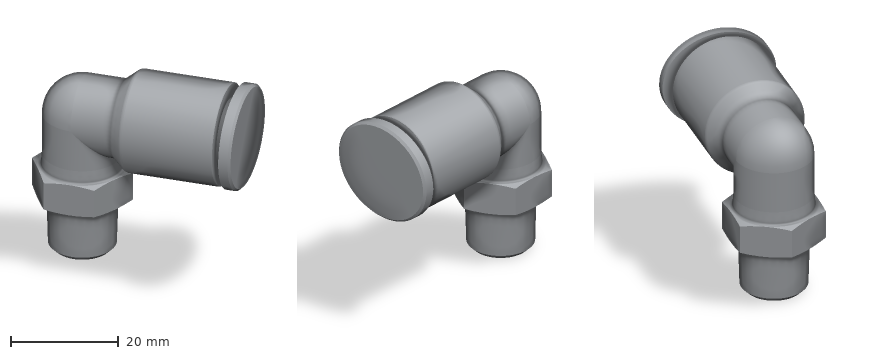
import cadquery as cq
import math


elbow_radius = 7.55
collar_top_z = -8.35
collar_radius = 7.72
collar_fillet = 0.38

hex_across_flats = 17.0
hex_across_corners = hex_across_flats / math.cos(math.radians(30))
hex_height = 6.5
hex_face_radius = 8.45
hex_chamfer_height = 0.43

overall_height = 38.3
thread_length = 11.0
thread_tip_chamfer = 1.0
thread_radius = 6.74
thread_taper = 1 / 16

socket_radius = 9.85
socket_end_x = 28.24
socket_end_chamfer = 0.12
cone_angle = math.radians(40)
cone_blend_radius = 1.0

neck_radius = 7.1
sleeve_x = 29.92
sleeve_width = 22.5
sleeve_height = 19.55
sleeve_chamfer = 0.45
overall_length = 42.02

thread_bottom_z = socket_radius - overall_height
hex_bottom_z = thread_bottom_z + thread_length
hex_top_z = hex_bottom_z + hex_height
sleeve_end_x = overall_length - hex_across_corners / 2


def make_leg():
    """Vertical leg with a drafted collar that blends into the top of the hexagon."""
    blend_radius = collar_radius + collar_fillet
    blend_top_z = hex_top_z + collar_fillet
    mid_angle = math.radians(45)
    blend_mid = (
        blend_radius - collar_fillet * math.cos(mid_angle),
        blend_top_z - collar_fillet * math.sin(mid_angle),
    )
    return (
        cq.Workplane("XZ")
        .lineTo(elbow_radius, 0)
        .lineTo(elbow_radius, collar_top_z)
        .lineTo(collar_radius, blend_top_z)
        .threePointArc(blend_mid, (blend_radius, hex_top_z))
        .lineTo(0, hex_top_z)
        .close()
        .revolve(360, (0, 0), (0, 1))
    )


def make_hexagon():
    """Hexagon with corners on the X axis, chamfered by cones at both ends."""
    prism = (
        cq.Workplane("XY")
        .workplane(offset=hex_bottom_z)
        .polygon(6, hex_across_corners)
        .extrude(hex_height)
    )
    corner_radius = hex_across_corners / 2
    envelope = (
        cq.Workplane("XZ")
        .moveTo(0, hex_bottom_z)
        .lineTo(hex_face_radius, hex_bottom_z)
        .lineTo(corner_radius, hex_bottom_z + hex_chamfer_height)
        .lineTo(corner_radius, hex_top_z - hex_chamfer_height)
        .lineTo(hex_face_radius, hex_top_z)
        .lineTo(0, hex_top_z)
        .close()
        .revolve(360, (0, 0), (0, 1))
    )
    return prism.intersect(envelope)


def make_thread():
    """Plain taper standing for the thread, with a chamfered tip."""
    taper_end_z = thread_bottom_z + thread_tip_chamfer
    taper_end_radius = thread_radius - (hex_bottom_z - taper_end_z) * thread_taper / 2
    return (
        cq.Workplane("XZ")
        .moveTo(0, hex_bottom_z)
        .lineTo(thread_radius, hex_bottom_z)
        .lineTo(taper_end_radius, taper_end_z)
        .lineTo(taper_end_radius - thread_tip_chamfer, thread_bottom_z)
        .lineTo(0, thread_bottom_z)
        .close()
        .revolve(360, (0, 0), (0, 1))
    )


def make_arm():
    """Horizontal arm: elbow tube, blended cone, socket and the sleeve neck."""
    cone_start_x = elbow_radius
    cone_end_x = cone_start_x + (socket_radius - elbow_radius) / math.tan(cone_angle)
    blend_tangent = cone_blend_radius * math.tan(cone_angle / 2)
    along_cone_x = blend_tangent * math.cos(cone_angle)
    along_cone_r = blend_tangent * math.sin(cone_angle)
    half_x = cone_blend_radius * math.sin(cone_angle / 2)
    half_r = cone_blend_radius * (1 - math.cos(cone_angle / 2))
    lower_start_x = cone_start_x - blend_tangent
    upper_end_x = cone_end_x + blend_tangent
    return (
        cq.Workplane("XZ")
        .lineTo(0, elbow_radius)
        .lineTo(lower_start_x, elbow_radius)
        .threePointArc(
            (lower_start_x + half_x, elbow_radius + half_r),
            (cone_start_x + along_cone_x, elbow_radius + along_cone_r),
        )
        .lineTo(cone_end_x - along_cone_x, socket_radius - along_cone_r)
        .threePointArc(
            (upper_end_x - half_x, socket_radius - half_r),
            (upper_end_x, socket_radius),
        )
        .lineTo(socket_end_x - socket_end_chamfer, socket_radius)
        .lineTo(socket_end_x, socket_radius - socket_end_chamfer)
        .lineTo(socket_end_x, neck_radius)
        .lineTo(sleeve_x, neck_radius)
        .lineTo(sleeve_x, 0)
        .close()
        .revolve(360, (0, 0), (1, 0))
    )


def make_sleeve_flange():
    """Oval push flange, wider along Y, chamfered on its outer face."""
    return (
        cq.Workplane("YZ")
        .workplane(offset=sleeve_x)
        .ellipse(sleeve_width / 2, sleeve_height / 2)
        .extrude(sleeve_end_x - sleeve_x)
        .faces(">X")
        .edges()
        .chamfer(sleeve_chamfer)
    )


dome = cq.Workplane("XY").sphere(elbow_radius)

result = (
    make_leg()
    .union(make_arm())
    .union(dome)
    .union(make_hexagon())
    .union(make_thread())
    .union(make_sleeve_flange())
)